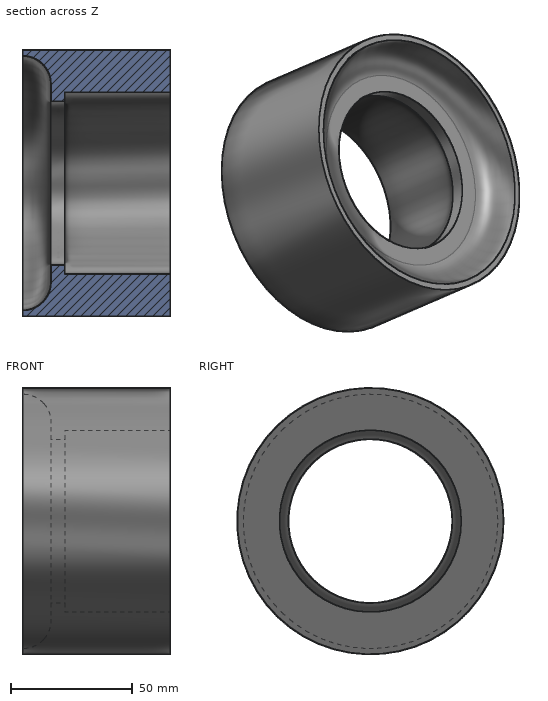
import math

import cadquery as cq

length = 61.0
outer_diameter = 110.0
bore_diameter = 67.5
rear_bore_diameter = 75.0
rim_width = 2.5
lip_end_depth = 17.5
cove_radius = lip_end_depth * 2 / 3

outer_radius = outer_diameter / 2
bore_radius = bore_diameter / 2
rear_bore_radius = rear_bore_diameter / 2
rim_radius = outer_radius - rim_width
cove_center_radius = rim_radius - cove_radius
front_x = -length / 2
rear_x = length / 2
floor_x = front_x + cove_radius
lip_end_x = front_x + lip_end_depth


def ring_body():
    """Half section of the ring, drawn as (x, radius) and revolved about X."""
    cove_reach = cove_radius * math.sqrt(0.5)
    cove_middle = (front_x + cove_reach, cove_center_radius + cove_reach)
    cove_end = (floor_x, cove_center_radius)
    section = (
        cq.Workplane("XY")
        .moveTo(front_x, outer_radius)
        .lineTo(front_x, rim_radius)
        .threePointArc(cove_middle, cove_end)
        .lineTo(floor_x, bore_radius)
        .lineTo(lip_end_x, bore_radius)
        .lineTo(lip_end_x, rear_bore_radius)
        .lineTo(rear_x, rear_bore_radius)
        .lineTo(rear_x, outer_radius)
        .close()
    )
    return section.revolve(360, (0, 0, 0), (1, 0, 0))


result = ring_body()